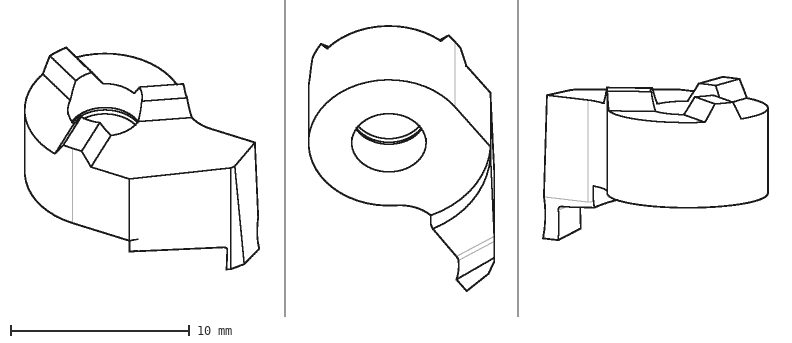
import cadquery as cq
import math

outer_radius = 4.5
hole_radius = 2.08
face_height = 4.85
top_height = 5.86

arm_back_y = 1.01
arm_corner_x = 3.48
facet_start = (8.32, -1.39)
facet_end = (8.83, -0.61)
neck_radius = 2.42
tip_reach = 9.0
tip_bottom = -3.33
seat_radius = math.hypot(arm_corner_x, outer_radius)

end_slope_y = 0.12
end_slope_z = -0.035
bottom_slope_y = -0.105
under_slope_x = -0.075
under_slope_y = -0.045
wall_slope_y = -0.04
wall_slope_z = 0.025

under_start_z = -0.85
wall_x = 8.03
wall_height = -1.62
pocket_fillet = 0.19

rake_radius = 4.62
rake_y = 0.84
rake_z = -2.2

tooth_angles = (30, 150, 270)
tooth_base_half = 1.13
tooth_top_half = 0.57

groove_bottom = 2.48
groove_top = 2.98
groove_depth = 0.24
ring_vee_depth = 0.061

margin = 1.35
far = tip_reach + margin


def ring_and_arm(bottom, top):
    """Teardrop outline extruded between two heights."""
    neck_y = arm_back_y + neck_radius
    center_distance = outer_radius + neck_radius
    neck_x = math.sqrt(center_distance**2 - neck_y**2)
    touch = (neck_x * outer_radius / center_distance, neck_y * outer_radius / center_distance)
    neck_mid_angle = (math.pi + math.atan2(neck_y, neck_x) + 1.5 * math.pi) / 2
    neck_mid = (
        neck_x + neck_radius * math.cos(neck_mid_angle),
        neck_y + neck_radius * math.sin(neck_mid_angle),
    )
    facet_top_x = facet_start[0] + (facet_end[0] - facet_start[0]) * (
        (arm_back_y - facet_start[1]) / (facet_end[1] - facet_start[1])
    )
    return (
        cq.Workplane("XY", origin=(0, 0, bottom))
        .moveTo(0, -outer_radius)
        .lineTo(arm_corner_x, -outer_radius)
        .lineTo(*facet_start)
        .lineTo(facet_top_x, arm_back_y)
        .lineTo(neck_x, arm_back_y)
        .threePointArc(neck_mid, touch)
        .threePointArc((-outer_radius, 0), (0, -outer_radius))
        .close()
        .extrude(top - bottom)
    )


def ruled_solid(section, y_front, y_back):
    """Solid between the XZ sections that section(y) gives at two Y positions."""
    wires = [
        cq.Wire.makePolygon([cq.Vector(x, y, z) for x, z in section(y)], close=True)
        for y in (y_front, y_back)
    ]
    return cq.Workplane(cq.Solid.makeLoft(wires, True))


def end_section(y):
    """Space beyond the end face, which leans out downwards and back along the arm."""
    low = tip_bottom - margin
    high = top_height + margin

    def face_x(z):
        return tip_reach + end_slope_y * (y - arm_back_y) + end_slope_z * (z - tip_bottom)

    return [(face_x(low), low), (far + margin, low), (far + margin, high), (face_x(high), high)]


def bottom_section(y):
    """Space below the slanted bottom of the tip."""
    z = tip_bottom + bottom_slope_y * (y - arm_back_y)
    low = tip_bottom - margin
    return [(0, low), (far, low), (far, z), (0, z)]


def pocket_section(y):
    """Space under the arm, up to the inner wall of the tip."""
    low = tip_bottom - margin

    def under_z(x):
        return under_start_z + under_slope_x * (x - arm_corner_x) + under_slope_y * (y + outer_radius)

    def inner_x(z):
        return wall_x + wall_slope_y * (y - arm_back_y) + wall_slope_z * (z - wall_height)

    corner_x = inner_x(under_z(0)) / (1 - wall_slope_z * under_slope_x)
    return [(0, low), (inner_x(low), low), (corner_x, under_z(corner_x)), (0, under_z(0))]


def tip_below_ring():
    """Part of the arm that reaches below the ring, outside the round seat."""
    y_front = -outer_radius - margin
    y_back = arm_back_y + margin
    seat = cq.Workplane("XY", origin=(0, 0, tip_bottom)).circle(seat_radius).extrude(-tip_bottom)
    pocket = ruled_solid(pocket_section, y_front, y_back)
    pocket_edge = cq.selectors.NearestToPointSelector((wall_x, (y_front + y_back) / 2, wall_height))
    pocket = pocket.edges(pocket_edge).fillet(pocket_fillet)
    rake = (
        cq.Workplane("YZ")
        .center(rake_y + rake_radius, rake_z)
        .circle(rake_radius)
        .extrude(far)
    )
    tip = ring_and_arm(tip_bottom, 0).cut(seat).cut(pocket).cut(rake)
    return tip.cut(ruled_solid(bottom_section, y_front, y_back))


def driving_teeth():
    """Three radial teeth with sloping flanks, ending at the outer outline."""
    tooth = (
        cq.Workplane("YZ")
        .polyline([
            (-tooth_base_half, face_height),
            (tooth_base_half, face_height),
            (tooth_top_half, top_height),
            (-tooth_top_half, top_height),
        ])
        .close()
        .extrude(outer_radius + margin)
    )
    outline = ring_and_arm(face_height, top_height)
    return [outline.intersect(tooth.rotate((0, 0, 0), (0, 0, 1), angle)) for angle in tooth_angles]


def make_insert():
    insert = ring_and_arm(0, face_height).union(tip_below_ring())
    for tooth in driving_teeth():
        insert = insert.union(tooth)
    insert = insert.cut(ruled_solid(end_section, -outer_radius - margin, arm_back_y + margin))
    hole = cq.Workplane("XY").circle(hole_radius).extrude(top_height)
    groove = (
        cq.Workplane("XY", origin=(0, 0, groove_bottom))
        .circle(hole_radius + groove_depth)
        .extrude(groove_top - groove_bottom)
    )
    return insert.cut(hole).cut(groove)


def make_bore_ring():
    """Ring flush with the hole at both rims, hollowed to a shallow V between them."""
    return (
        cq.Workplane("XZ")
        .polyline([
            (hole_radius, groove_bottom),
            (hole_radius + groove_depth, groove_bottom),
            (hole_radius + groove_depth, groove_top),
            (hole_radius, groove_top),
            (hole_radius + ring_vee_depth, (groove_bottom + groove_top) / 2),
        ])
        .close()
        .revolve(360, (0, 0, 0), (0, 1, 0))
    )


insert = make_insert()
bore_ring = make_bore_ring()

result = cq.Compound.makeCompound([insert.val(), bore_ring.val()])